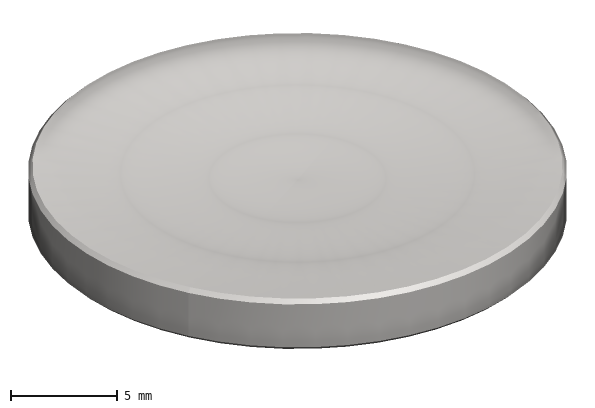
import cadquery as cq
import math

diameter = 25.4
edge_thickness = 2.75
bevel = 0.2
hollow_depth = 0.75

radius = diameter / 2
face_radius = radius - bevel
sphere_radius = (face_radius**2 + hollow_depth**2) / (2 * hollow_depth)

arc_x = face_radius / 2
arc_z = edge_thickness - hollow_depth + sphere_radius - math.sqrt(sphere_radius**2 - arc_x**2)

half_profile = (
    cq.Workplane("XZ")
    .lineTo(face_radius, 0)
    .lineTo(radius, bevel)
    .lineTo(radius, edge_thickness - bevel)
    .lineTo(face_radius, edge_thickness)
    .threePointArc((arc_x, arc_z), (0, edge_thickness - hollow_depth))
    .close()
)

first_half = half_profile.revolve(180, (0, 0, 0), (0, 1, 0)).rotate((0, 0, 0), (0, 0, 1), 90)
second_half = first_half.rotate((0, 0, 0), (0, 0, 1), 180)
result = first_half.union(second_half, clean=False)